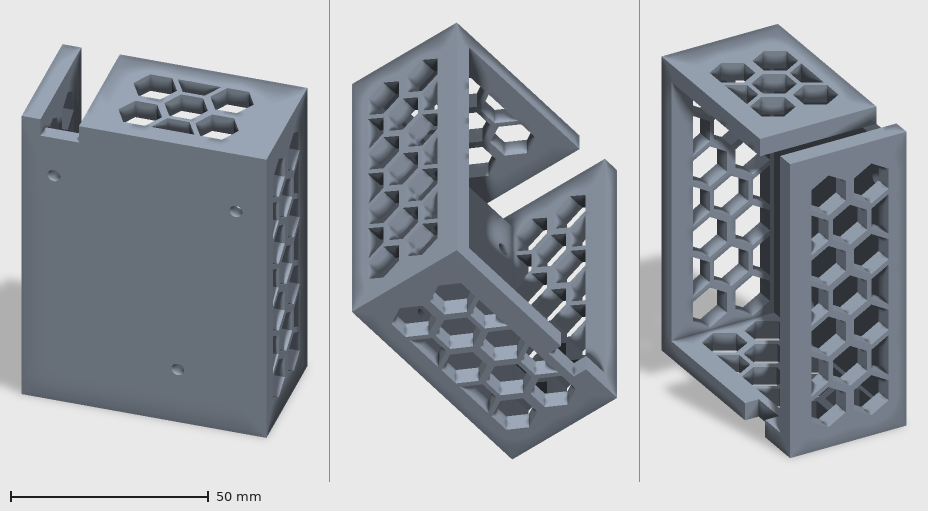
import cadquery as cq
import math

WIDTH = 65.0
DEPTH = 34.0
HEIGHT = 85.0
WALL = 5.0
FRONT_WALL = 4.0

HEX_FLATS = 10.0
HEX_CORNERS = HEX_FLATS / math.cos(math.radians(30))
HEX_PITCH = 12.5
COLUMN_PITCH = 10.2
VENT_HEIGHT = HEX_PITCH + HEX_FLATS
VENT_CENTER_Y = 16.5
TOP_VENT_X = 38.4
TOP_COLUMNS = 3
BOTTOM_VENT_X = 32.2
BOTTOM_COLUMNS = 5
SIDE_VENT_Z = 42.25
SIDE_COLUMNS = 7

SLOT_WIDTH = 10.2

NOTCH_START_X = 12.6
NOTCH_LENGTH = 10.2
NOTCH_DEPTH = 4.0

HOLE_DIAMETER = 3.4
HOLE_CENTERS = [(8.6, 68.5), (56.95, 67.5), (41.5, 16.1)]


def block(x_size, y_size, z_size, corner):
    return cq.Workplane("XY").box(x_size, y_size, z_size, centered=False).translate(corner)


def honeycomb(columns):
    """Vent cutter centred on the origin: columns run along X, hexagons stack along Y, WALL tall in Z.

    Columns alternate between two whole hexagons and one whole hexagon with a half at each vent edge.
    """
    centers = []
    for column in range(columns):
        x = (column - (columns - 1) / 2) * COLUMN_PITCH
        if column % 2 == 0:
            rows = [-HEX_PITCH / 2, HEX_PITCH / 2]
        else:
            rows = [-VENT_HEIGHT / 2, 0, VENT_HEIGHT / 2]
        centers.extend((x, y) for y in rows)
    hexagons = cq.Workplane("XY").pushPoints(centers).polygon(6, HEX_CORNERS).extrude(WALL)
    trim_length = columns * COLUMN_PITCH + HEX_CORNERS
    trim = cq.Workplane("XY").rect(trim_length, VENT_HEIGHT).extrude(WALL)
    return hexagons.intersect(trim)


def side_vent(x):
    """Vent standing upright in a side wall whose left face is at x."""
    upright = honeycomb(SIDE_COLUMNS).rotate((0, 0, 0), (0, 1, 0), -90)
    return upright.translate((x + WALL, VENT_CENTER_Y, SIDE_VENT_Z))


shell = block(WIDTH, DEPTH, HEIGHT, (0, 0, 0))
cavity = block(WIDTH - 2 * WALL, DEPTH - FRONT_WALL, HEIGHT - 2 * WALL, (WALL, FRONT_WALL, WALL))
result = shell.cut(cavity)

result = result.cut(honeycomb(BOTTOM_COLUMNS).translate((BOTTOM_VENT_X, VENT_CENTER_Y, 0)))
result = result.cut(honeycomb(TOP_COLUMNS).translate((TOP_VENT_X, VENT_CENTER_Y, HEIGHT - WALL)))
result = result.cut(side_vent(0))
result = result.cut(side_vent(WIDTH - WALL))

result = result.cut(block(SLOT_WIDTH, DEPTH, WALL, (WALL, 0, HEIGHT - WALL)))

result = result.cut(
    block(NOTCH_LENGTH, NOTCH_DEPTH, WALL, (NOTCH_START_X, DEPTH - NOTCH_DEPTH, 0))
)

holes = (
    cq.Workplane("XZ")
    .pushPoints(HOLE_CENTERS)
    .circle(HOLE_DIAMETER / 2)
    .extrude(-FRONT_WALL)
)
result = result.cut(holes)